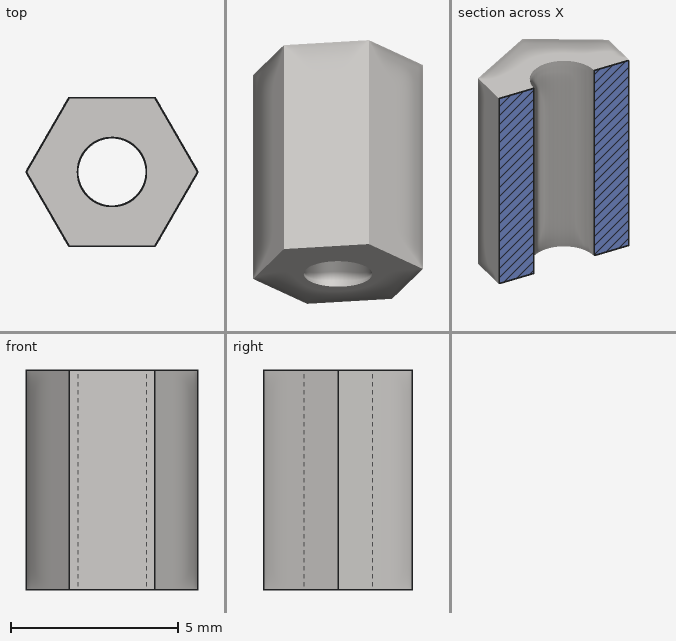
import cadquery as cq
import math

across_flats = 4.45
height = 6.57
bore_diameter = 2.05

across_corners = across_flats / math.cos(math.pi / 6)


def hex_body():
    """Hexagonal prism centred on the Z axis, standing on the XY plane."""
    return cq.Workplane("XY").polygon(6, across_corners).extrude(height)


def cut_bore(body):
    """Plain round hole along the axis, through the full height."""
    return body.faces(">Z").workplane().hole(bore_diameter)


result = cut_bore(hex_body())